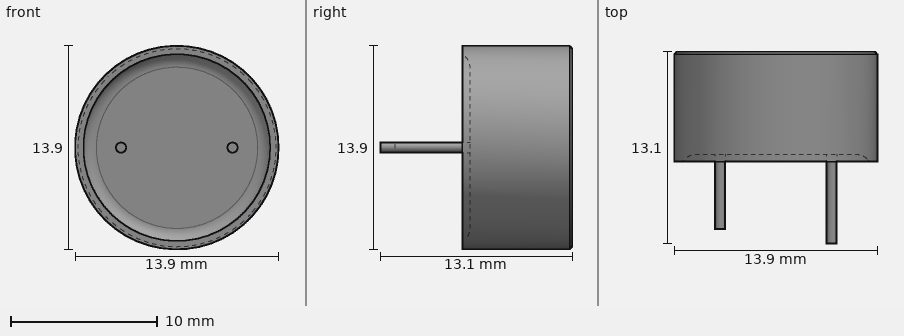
import cadquery as cq
import math

body_diameter = 13.9
body_depth = 7.5
back_chamfer = 0.2

floor_radius = 5.5
recess_depth = 0.5
sweep_radius = 2 * recess_depth

pin_diameter = 0.7
pin_spacing = 7.6
left_pin_reach = 4.6
right_pin_reach = 5.59

FRONT = "XZ"


def make_body():
    """Cylinder from the open face at Y = 0 to the chamfered back face."""
    body = cq.Workplane(FRONT).circle(body_diameter / 2).extrude(-body_depth)
    return body.faces(">Y").edges().chamfer(back_chamfer)


def make_recess():
    """Solid of revolution about Y that fills the recess."""
    sweep_angle = math.acos(1 - recess_depth / sweep_radius)

    def point_on_sweep(angle):
        """Point on the arc, measured by the angle turned from the floor."""
        radius = floor_radius + sweep_radius * math.sin(angle)
        depth = recess_depth - sweep_radius * (1 - math.cos(angle))
        return radius, depth

    profile = (
        cq.Workplane("XY")
        .lineTo(*point_on_sweep(sweep_angle))
        .threePointArc(point_on_sweep(sweep_angle / 2), point_on_sweep(0))
        .lineTo(0, recess_depth)
        .close()
    )
    return profile.revolve(360, (0, 0), (0, 1))


def make_pin(x, reach):
    """Round pin standing on the recess floor."""
    pin = cq.Workplane(FRONT, origin=(x, recess_depth, 0))
    return pin.circle(pin_diameter / 2).extrude(recess_depth + reach)


result = make_body().cut(make_recess())
result = result.union(make_pin(-pin_spacing / 2, left_pin_reach))
result = result.union(make_pin(pin_spacing / 2, right_pin_reach))